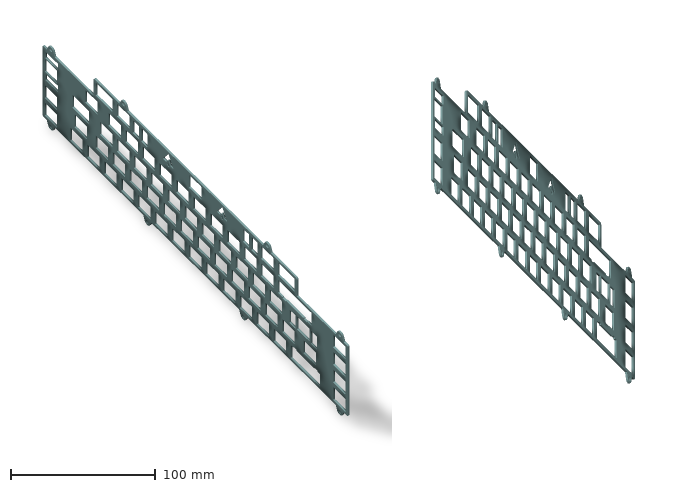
import cadquery as cq
import math

unit = 19.05
thickness = 1.5

plate_columns = 18
main_rows = 4
top_row_columns = 12
corner_radius = 1.0
top_corner_radius = 2.0
plate_width = plate_columns * unit
half_height = (main_rows + 1) * unit / 2
top_edge = half_height
shoulder = half_height - unit
bottom_edge = -half_height

tab_reach = 6.5
tab_radius = 3.0
tab_hole_diameter = 3.2
tab_base_half_width = 4.5
tab_root_depth = 1.0
outer_tab_offset = 162.3
top_tab_offset = 80.7
inner_bottom_tab_offset = 53.9

switch_size = 14.0
cutout_radius = 0.5
stabilizer_width = 7.0
stabilizer_notch_width = 3.9
stabilizer_above = 6.25
stabilizer_below = 8.0
two_unit_spacing = 11.938
seven_unit_spacing = 57.15
eight_unit_spacing = 66.675

NUMBER_ROW, UPPER_ROW, HOME_ROW, LOWER_ROW, BOTTOM_ROW = 2, 1, 0, -1, -2

enter_column = 6.375
backspace_column = 5.875
shift_column = 6.5
side_column = (plate_columns - 1) / 2
backspace_reach = 0.625
shift_reach = 0.5

row_columns = {
    NUMBER_ROW: [-4.25, 0, 4.25],
    UPPER_ROW: [-6.125] + [-4.75 + i for i in range(10)] + [side_column],
    HOME_ROW: [-5.25 + i for i in range(11)] + [enter_column, side_column],
    LOWER_ROW: [-side_column, -6.75] + [-5.5 + i for i in range(12)] + [6.75, side_column],
    BOTTOM_ROW: [-side_column] + [-7 + i for i in range(13)] + [side_column],
}
tall_column, tall_row = -side_column, 0.5

wide_openings = [
    (NUMBER_ROW, -5.5, -5.25),
    (NUMBER_ROW, 5.25, 5.5),
    (HOME_ROW, -6.875, -6.625),
    (UPPER_ROW, backspace_column - backspace_reach, backspace_column + backspace_reach),
    (BOTTOM_ROW, shift_column - shift_reach, shift_column + shift_reach),
]

arrow_column = 1.5875
arrow_apex = 7.6
arrow_base = -3.5
arrow_half_base = 6.1
arrow_notch_height = 0.7
arrow_tip_radius = 0.5
diamond_half_height = 2.7
diamond_drop = 4.6


def prism(sketch):
    """Extrude an XZ profile to the plate thickness, centred on Y = 0."""
    return sketch.extrude(thickness / 2, both=True)


def rounded_box(x_min, x_max, z_min, z_max, radius):
    profile = cq.Workplane("XZ").center((x_min + x_max) / 2, (z_min + z_max) / 2)
    return prism(profile.rect(x_max - x_min, z_max - z_min)).edges("|Y").fillet(radius)


def plate_blank():
    half_width = plate_width / 2
    half_top = top_row_columns * unit / 2
    main = rounded_box(-half_width, half_width, bottom_edge, shoulder, corner_radius)
    top = rounded_box(-half_top, half_top, bottom_edge, top_edge, top_corner_radius)
    return main.union(top)


def mounting_tab(x, edge, outward):
    """Tapered ear with a round end; outward is +1 for an upper edge and -1 for a lower one."""
    centre = tab_reach - tab_radius
    corner_distance = math.hypot(tab_base_half_width, centre)
    tangent_angle = math.atan2(-centre, tab_base_half_width) + math.acos(tab_radius / corner_distance)
    tangent_x = tab_radius * math.cos(tangent_angle)
    tangent_z = edge + outward * (centre + tab_radius * math.sin(tangent_angle))
    root = edge - outward * tab_root_depth
    ear = (
        cq.Workplane("XZ")
        .moveTo(x - tab_base_half_width, root)
        .lineTo(x - tab_base_half_width, edge)
        .lineTo(x - tangent_x, tangent_z)
        .threePointArc((x, edge + outward * tab_reach), (x + tangent_x, tangent_z))
        .lineTo(x + tab_base_half_width, edge)
        .lineTo(x + tab_base_half_width, root)
        .close()
    )
    hole = cq.Workplane("XZ").center(x, edge + outward * centre).circle(tab_hole_diameter / 2)
    return prism(ear).cut(prism(hole))


def switch_opening(row, first_column, last_column):
    half = switch_size / 2
    x_min = first_column * unit - half
    x_max = last_column * unit + half
    return rounded_box(x_min, x_max, row * unit - half, row * unit + half, cutout_radius)


def stabilizer_slots(column, row, spacing, width=stabilizer_width, turn=0):
    """Pair of stabilizer slots either side of a key, turned about the key centre."""
    slots = []
    for side in (-1, 1):
        middle = side * spacing
        slot = rounded_box(
            middle - width / 2,
            middle + width / 2,
            -stabilizer_below,
            stabilizer_above,
            cutout_radius,
        )
        slot = slot.rotate((0, 0, 0), (0, -1, 0), turn)
        slots.append(slot.translate((column * unit, 0, row * unit)))
    return slots


def arrow_window(column):
    """Arrowhead with a notched base and a diamond below it, all sloping sides parallel."""
    slope = (arrow_apex - arrow_base) / arrow_half_base
    half_notch = (arrow_notch_height - arrow_base) / slope
    head_points = [
        (0, arrow_apex),
        (arrow_half_base, arrow_base),
        (half_notch, arrow_base),
        (0, arrow_notch_height),
        (-half_notch, arrow_base),
        (-arrow_half_base, arrow_base),
    ]
    diamond_half_width = diamond_half_height / slope
    diamond_points = [
        (0, -diamond_drop + diamond_half_height),
        (diamond_half_width, -diamond_drop),
        (0, -diamond_drop - diamond_half_height),
        (-diamond_half_width, -diamond_drop),
    ]
    windows = []
    for points in (head_points, diamond_points):
        profile = cq.Workplane("XZ").center(column * unit, NUMBER_ROW * unit).polyline(points).close()
        windows.append(prism(profile).edges("|Y").fillet(arrow_tip_radius))
    return windows


def all_openings():
    openings = []
    for row, columns in row_columns.items():
        for column in columns:
            openings.append(switch_opening(row, column, column))
    openings.append(switch_opening(tall_row, tall_column, tall_column))
    for row, first_column, last_column in wide_openings:
        openings.append(switch_opening(row, first_column, last_column))

    openings += stabilizer_slots(tall_column, tall_row, two_unit_spacing, turn=90)
    openings += stabilizer_slots(enter_column, HOME_ROW, two_unit_spacing)
    openings += stabilizer_slots(backspace_column, UPPER_ROW, two_unit_spacing, stabilizer_notch_width)
    openings += stabilizer_slots(shift_column, BOTTOM_ROW, two_unit_spacing, stabilizer_notch_width, turn=180)
    openings += stabilizer_slots(0, NUMBER_ROW, seven_unit_spacing)
    openings += stabilizer_slots(0, NUMBER_ROW, eight_unit_spacing)

    for side in (-1, 1):
        openings += arrow_window(side * arrow_column)
    return openings


plate = plate_blank()
for side in (-1, 1):
    plate = plate.union(mounting_tab(side * outer_tab_offset, shoulder, 1))
    plate = plate.union(mounting_tab(side * top_tab_offset, top_edge, 1))
    plate = plate.union(mounting_tab(side * outer_tab_offset, bottom_edge, -1))
    plate = plate.union(mounting_tab(side * inner_bottom_tab_offset, bottom_edge, -1))

cutters = [opening.val() for opening in all_openings()]
result = cq.Workplane(plate.val().cut(*cutters)).solids()